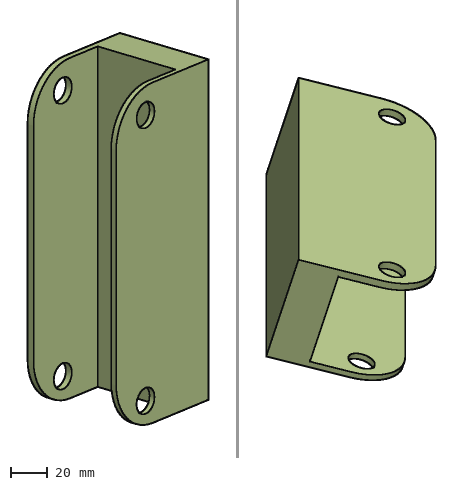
import cadquery as cq

width = 63.3
depth = 77.7
height = 197.8

left_cheek_thickness = 4.4
right_cheek_thickness = 3.5
back_thickness = 23.7
corner_radius = 30.7

hole_diameter = 15.0
hole_front_offset = 24.7
upper_hole_drop = 17.2
lower_hole_rise = 14.6

channel_width = width - left_cheek_thickness - right_cheek_thickness
channel_center_x = (left_cheek_thickness - right_cheek_thickness) / 2
channel_depth = depth - back_thickness

body = cq.Workplane("XY").box(width, depth, height, centered=(True, False, True))
body = body.faces("<Y").edges("|X").fillet(corner_radius)

channel = (
    cq.Workplane("XY")
    .center(channel_center_x, 0)
    .box(channel_width, channel_depth, height, centered=(True, False, True))
)

hole_centers = [
    (hole_front_offset, height / 2 - upper_hole_drop),
    (hole_front_offset, -height / 2 + lower_hole_rise),
]
holes = (
    cq.Workplane("YZ")
    .pushPoints(hole_centers)
    .circle(hole_diameter / 2)
    .extrude(width / 2, both=True)
)

result = body.cut(channel).cut(holes)